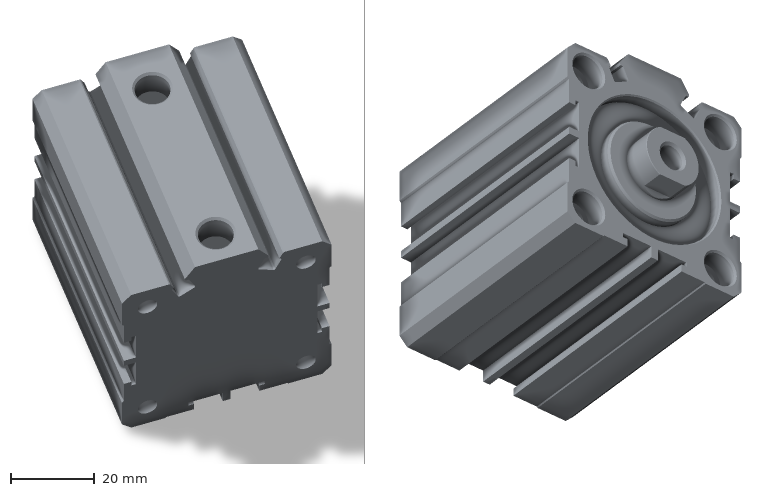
import cadquery as cq
import math


overall_length = 71.5
overall_width = 53.0
overall_height = 57.0
rod_reach = 7.0
housing_length = overall_length - rod_reach
half_width = overall_width / 2
block_top = overall_height - half_width
corner_chamfer = 2.35

side_relief = 0.5
bottom_relief = 0.3
strip_edge = 15.6
slot_opening = 8.2
slot_undercut = 9.65
lip_depth = 24.1
slot_floor = 22.95
slot_rib = 1.0

bore_diameter = 40.0
bore_depth = 3.5
bore_chamfer = 0.35
boss_diameter = 27.0
boss_setback = 0.5
boss_chamfer = 0.5

mount_pitch = 40.05
mount_diameter = 4.9
mount_chamfer = 0.5
counterbore_diameter = 9.0
counterbore_depth = 5.7
counterbore_chamfer = 0.5

port_diameter = 8.6
port_depth = 7.0
port_chamfer = 0.6
front_port_x = 11.0
rear_port_inset = 7.9
rear_port_x = housing_length - rear_port_inset

rod_diameter = 16.0
rod_seat_depth = 20.0
rod_chamfer = 0.15
flat_distance = 14.0
flat_length = 6.0
rod_hole_diameter = 6.65
rod_hole_depth = 13.0
rod_hole_chamfer = 0.68
drill_angle = 118

strip_width = half_width - corner_chamfer
side_face = half_width - side_relief
bottom_face = half_width - bottom_relief

port_block_and_groove = [
    (0, block_top),
    (8.0, block_top),
    (10.6, 26.8),
    (10.4, 26.2),
    (9.6, 26.2),
    (7.95, 22.9),
    (8.1, 22.45),
    (11.9, 20.45),
    (12.3, 20.65),
    (13.9, 24.0),
    (13.3, 24.5),
    (14.2, 26.25),
    (14.6, half_width),
]
upper_side = [
    (strip_width, half_width),
    (half_width, strip_width),
    (half_width, strip_edge),
    (side_face, strip_edge - side_relief),
    (side_face, slot_opening),
    (lip_depth, slot_opening),
    (lip_depth, slot_undercut),
    (slot_floor, slot_undercut),
    (slot_floor, slot_rib),
    (side_face, slot_rib),
]
lower_side = [(y, -z) for y, z in reversed(upper_side)]
bottom = [
    (strip_edge, -half_width),
    (strip_edge - bottom_relief, -bottom_face),
    (slot_opening, -bottom_face),
    (slot_opening, -lip_depth),
    (slot_undercut, -lip_depth),
    (slot_undercut, -slot_floor),
    (slot_rib, -slot_floor),
    (slot_rib, -bottom_face),
    (0, -bottom_face),
]
half_outline = port_block_and_groove + upper_side + lower_side + bottom


def x_cylinder(diameter, start, end, y=0, z=0):
    """Cylinder along X between two X positions."""
    return cq.Workplane("YZ", origin=(start, y, z)).circle(diameter / 2).extrude(end - start)


def x_countersink(diameter, chamfer, start, y=0, z=0):
    """45 degree cone that opens a hole at its front end."""
    cone = cq.Solid.makeCone(
        diameter / 2 + chamfer, diameter / 2, chamfer, cq.Vector(start, y, z), cq.Vector(1, 0, 0)
    )
    return cq.Workplane(cone)


def mount_hole(y, z):
    """Through hole with a counterbore in the front face, both countersunk."""
    return (
        x_cylinder(mount_diameter, 0, housing_length, y, z)
        .union(x_cylinder(counterbore_diameter, 0, counterbore_depth, y, z))
        .union(x_countersink(counterbore_diameter, counterbore_chamfer, 0, y, z))
        .union(x_countersink(mount_diameter, mount_chamfer, counterbore_depth, y, z))
    )


def port(x):
    """Flat-bottomed countersunk hole down from the port block."""
    hole = cq.Workplane("XY", origin=(x, 0, block_top)).circle(port_diameter / 2).extrude(-port_depth)
    mouth = cq.Solid.makeCone(
        port_diameter / 2 + port_chamfer,
        port_diameter / 2,
        port_chamfer,
        cq.Vector(x, 0, block_top),
        cq.Vector(0, 0, -1),
    )
    return hole.union(cq.Workplane(mouth))


def bore_mouth():
    """Ring recess that leaves the bearing boss standing just behind the front face."""
    boss = x_cylinder(boss_diameter, boss_setback, bore_depth).faces("<X").chamfer(boss_chamfer)
    return (
        x_cylinder(bore_diameter, 0, bore_depth)
        .union(x_countersink(bore_diameter, bore_chamfer, 0))
        .cut(boss)
    )


def make_housing():
    mirrored_half = [(-y, z) for y, z in reversed(half_outline[1:-1])]
    housing = cq.Workplane("YZ").polyline(half_outline + mirrored_half).close().extrude(housing_length)
    housing = housing.cut(bore_mouth())
    housing = housing.cut(x_cylinder(rod_diameter, 0, rod_seat_depth))
    for y in (-mount_pitch / 2, mount_pitch / 2):
        for z in (-mount_pitch / 2, mount_pitch / 2):
            housing = housing.cut(mount_hole(y, z))
    for x in (front_port_x, rear_port_x):
        housing = housing.cut(port(x))
    return housing


def rod_flat_cut(side):
    """Wedge that cuts one wrench flat, ending in a 45 degree slope; side is +1 (top) or -1."""
    flat_z = flat_distance / 2
    outer_z = rod_diameter / 2
    slope_end = flat_length + outer_z - flat_z
    return (
        cq.Workplane("XZ", origin=(-rod_reach, 0, 0))
        .polyline(
            [
                (0, side * flat_z),
                (flat_length, side * flat_z),
                (slope_end, side * outer_z),
                (0, side * outer_z),
            ]
        )
        .close()
        .extrude(rod_diameter / 2, both=True)
    )


def rod_hole():
    """Countersunk blind hole with a drill point."""
    bottom_x = rod_hole_depth - rod_reach
    radius = rod_hole_diameter / 2
    point_length = radius / math.tan(math.radians(drill_angle / 2))
    point = cq.Solid.makeCone(
        radius, 0, point_length, cq.Vector(bottom_x, 0, 0), cq.Vector(1, 0, 0)
    )
    return (
        x_cylinder(rod_hole_diameter, -rod_reach, bottom_x)
        .union(x_countersink(rod_hole_diameter, rod_hole_chamfer, -rod_reach))
        .union(cq.Workplane(point))
    )


def make_rod():
    rod = x_cylinder(rod_diameter, -rod_reach, rod_seat_depth).faces("<X").chamfer(rod_chamfer)
    for side in (1, -1):
        rod = rod.cut(rod_flat_cut(side))
    return rod.cut(rod_hole())


housing = make_housing()
piston_rod = make_rod()

result = cq.Compound.makeCompound([housing.val(), piston_rod.val()])